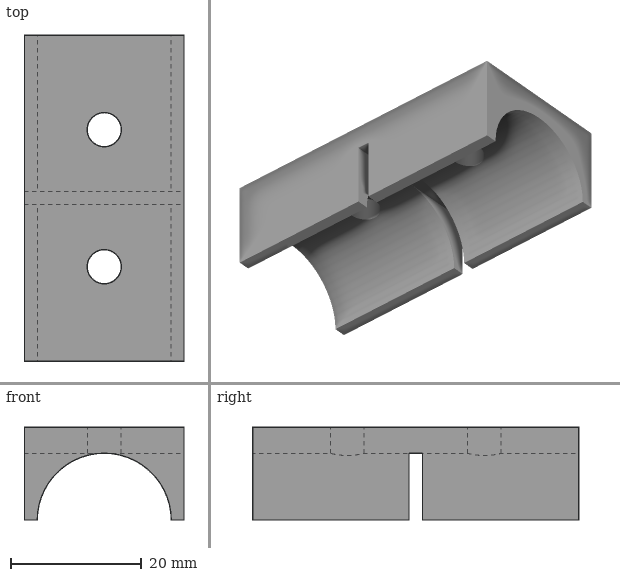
import cadquery as cq

length = 50.0
width = 24.5
side_wall = 2.0
roof_thickness = 4.0

channel_radius = width / 2 - side_wall
height = channel_radius + roof_thickness

slot_width = 2.0
slot_height = channel_radius

hole_diameter = 5.2
hole_spacing = 21.0


def make_block():
    """Plain block with its bottom face on Z = 0."""
    return cq.Workplane("XY").box(width, length, height, centered=(True, True, False))


def make_channel():
    """Cylinder whose upper half forms the channel."""
    return cq.Workplane("XZ").circle(channel_radius).extrude(length / 2, both=True)


def make_slot():
    """Cutter that splits both side walls at mid length."""
    return cq.Workplane("XY").box(width, slot_width, slot_height, centered=(True, True, False))


def make_holes():
    """Pair of vertical cutters, symmetric about mid length."""
    centres = [(0, -hole_spacing / 2), (0, hole_spacing / 2)]
    return cq.Workplane("XY").pushPoints(centres).circle(hole_diameter / 2).extrude(height)


result = make_block().cut(make_channel()).cut(make_slot()).cut(make_holes())